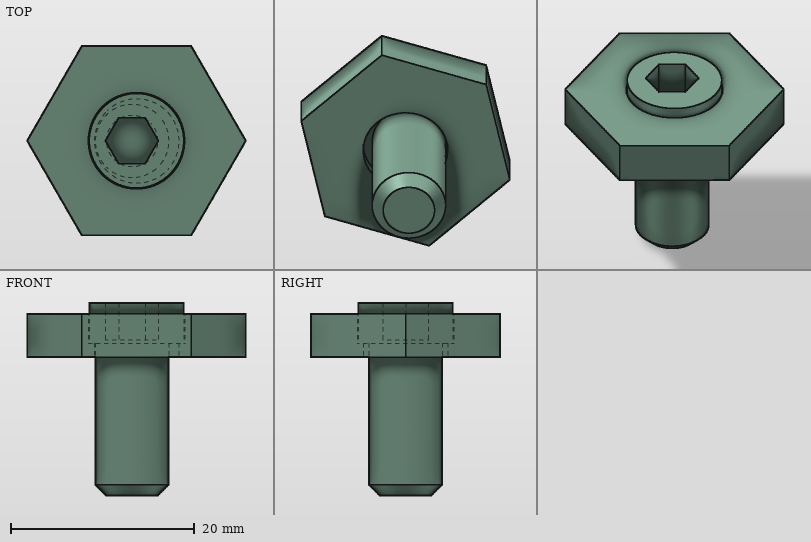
import cadquery as cq
import math

washer_across_flats = 20.64
washer_thickness = 4.7
ledge_thickness = 1.5
head_clearance = 0.1
shank_clearance = 0.1

screw_length = 21.0
head_diameter = 10.3
head_protrusion = 1.2
shank_diameter = 8.0
shank_chamfer = 1.2
eccentricity = 0.5
socket_across_flats = 5.0
socket_depth = 4.0

counterbore_diameter = head_diameter + 2 * head_clearance
through_hole_diameter = shank_diameter + 2 * (eccentricity + shank_clearance)
head_top = washer_thickness + head_protrusion
head_height = head_top - ledge_thickness
shank_length = screw_length - head_height
shank_axis_x = -eccentricity


def hexagon_corner_diameter(across_flats):
    return across_flats / math.cos(math.radians(30))


def make_washer():
    """Hexagonal washer whose counterbore leaves a ledge for the screw head to sit on."""
    body = (
        cq.Workplane("XY")
        .polygon(6, hexagon_corner_diameter(washer_across_flats))
        .circle(through_hole_diameter / 2)
        .extrude(washer_thickness)
    )
    counterbore = (
        cq.Workplane("XY", origin=(0, 0, ledge_thickness))
        .circle(counterbore_diameter / 2)
        .extrude(washer_thickness - ledge_thickness)
    )
    return body.cut(counterbore)


def make_cam_screw():
    """Screw with a round head and an eccentric, chamfered shank and hexagonal socket."""
    head = (
        cq.Workplane("XY", origin=(0, 0, ledge_thickness))
        .circle(head_diameter / 2)
        .extrude(head_height)
    )
    shank = (
        cq.Workplane("XY", origin=(shank_axis_x, 0, ledge_thickness))
        .circle(shank_diameter / 2)
        .extrude(-shank_length)
        .faces("<Z")
        .chamfer(shank_chamfer)
    )
    socket = (
        cq.Workplane("XY", origin=(shank_axis_x, 0, head_top))
        .polygon(6, hexagon_corner_diameter(socket_across_flats))
        .extrude(-socket_depth)
    )
    return head.union(shank).cut(socket)


washer = make_washer()
cam_screw = make_cam_screw()

result = cq.Compound.makeCompound([washer.solids().val(), cam_screw.solids().val()])